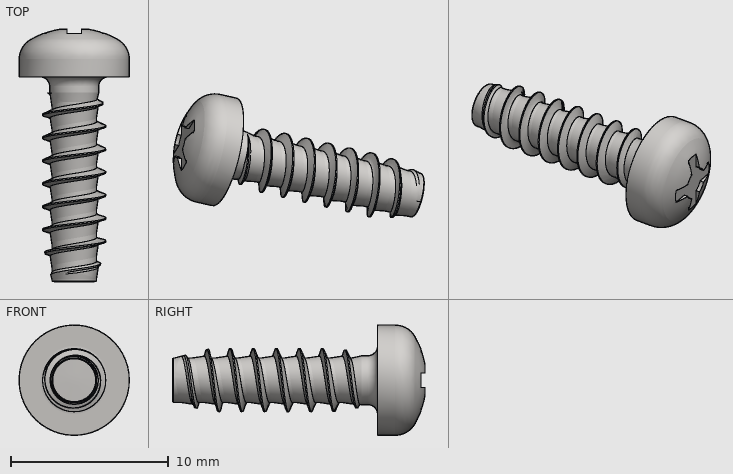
import cadquery as cq
import math


head_radius = 3.5
head_height = 3.03
rim_height = 1.12
rim_edge_radius = 0.05
shoulder_radius = 1.45
dome_radius = 5.5

recess_depth = 0.26
wing_width = 0.9

shank_length = 13.0
neck_radius = 1.56
neck_fillet = 0.6
neck_length = 1.0
core_radius = 1.42
core_start = 1.6
tip_chamfer = 0.06
tip_point_height = 0.03

pitch = 1.457
crest_radius = 2.0
crest_half_width = 0.04
front_foot_radius = 1.53
front_foot_offset = 0.2
relief_end_offset = 1.05
rear_foot_offset = 0.3
sunk_radius = 1.4
buried_radius = 1.2

crest_y_at_turn_zero = -2.03
thread_start_turn = -1.0
full_height_start_turn = 0.25
full_height_end_turn = 6.0
thread_end_turn = 7.4
start_crest_radius = 1.6
end_crest_radius = 1.43
points_per_turn = 20

tip_cone_length = 3.0
tip_cone_slope = 0.26


def revolve_about_y(profile):
    return profile.close().revolve(360, (0, 0, 0), (0, 1, 0))


def make_head():
    shoulder_x = head_radius - shoulder_radius
    centre_distance = dome_radius - shoulder_radius
    tangent_angle = math.asin(shoulder_x / centre_distance)
    dome_centre_y = rim_height - centre_distance * math.cos(tangent_angle)
    apex_y = dome_centre_y + dome_radius

    def dome_point(angle):
        return dome_radius * math.sin(angle), dome_centre_y + dome_radius * math.cos(angle)

    shoulder_angle = tangent_angle + (math.pi / 2 - tangent_angle) / 2
    shoulder_mid = (
        shoulder_x + shoulder_radius * math.sin(shoulder_angle),
        rim_height + shoulder_radius * math.cos(shoulder_angle),
    )
    head = revolve_about_y(
        cq.Workplane("XY")
        .lineTo(head_radius, 0)
        .lineTo(head_radius, rim_height)
        .threePointArc(shoulder_mid, dome_point(tangent_angle))
        .threePointArc(dome_point(tangent_angle / 2), (0, apex_y))
    )
    head = head.faces("<Y").edges().fillet(rim_edge_radius)

    opening_radius = math.sqrt(dome_radius**2 - (head_height - dome_centre_y) ** 2)
    return head.cut(make_recess(opening_radius, apex_y))


def make_recess(opening_radius, apex_y):
    floor_y = head_height - recess_depth
    height = apex_y - floor_y
    floor = cq.Workplane("XZ", origin=(0, floor_y, 0))
    wing_span = 2 * head_radius
    recess = floor.circle(opening_radius).extrude(-height)
    recess = recess.union(floor.rect(wing_span, wing_width).extrude(-height))
    return recess.union(floor.rect(wing_width, wing_span).extrude(-height))


def make_shank():
    fillet_offset = neck_fillet * (1 - math.sqrt(0.5))
    tip_shoulder_y = tip_point_height - shank_length
    return revolve_about_y(
        cq.Workplane("XY")
        .moveTo(0, rim_height)
        .lineTo(neck_radius + neck_fillet, rim_height)
        .lineTo(neck_radius + neck_fillet, 0)
        .threePointArc((neck_radius + fillet_offset, -fillet_offset), (neck_radius, -neck_fillet))
        .lineTo(neck_radius, -neck_length)
        .lineTo(core_radius, -core_start)
        .lineTo(core_radius, tip_shoulder_y + tip_chamfer)
        .lineTo(core_radius - tip_chamfer, tip_shoulder_y)
        .lineTo(0, -shank_length)
    )


def crest_radius_at(turn):
    if turn < full_height_start_turn:
        progress = (turn - thread_start_turn) / (full_height_start_turn - thread_start_turn)
        return start_crest_radius + progress * (crest_radius - start_crest_radius)
    if turn > full_height_end_turn:
        progress = (turn - full_height_end_turn) / (thread_end_turn - full_height_end_turn)
        return crest_radius + progress * (end_crest_radius - crest_radius)
    return crest_radius


def thread_section(turn):
    """Corners of the thread as (radius, offset from the crest towards the tip)."""
    crest = crest_radius_at(turn)
    front_foot = min(front_foot_radius, crest)
    return [
        (buried_radius, -rear_foot_offset),
        (sunk_radius, -rear_foot_offset),
        (crest, -crest_half_width),
        (crest, crest_half_width),
        (front_foot, front_foot_offset),
        (sunk_radius, relief_end_offset),
        (buried_radius, relief_end_offset),
    ]


def thread_point(turn, corner):
    radius, offset = thread_section(turn)[corner]
    angle = 2 * math.pi * turn
    y = crest_y_at_turn_zero - pitch * turn - offset
    return cq.Vector(-radius * math.sin(angle), y, radius * math.cos(angle))


def make_thread():
    turn_count = thread_end_turn - thread_start_turn
    step_count = round(turn_count * points_per_turn)
    turns = [thread_start_turn + turn_count * i / step_count for i in range(step_count + 1)]
    corners = range(len(thread_section(0)))
    helices = [cq.Edge.makeSpline([thread_point(turn, corner) for turn in turns]) for corner in corners]

    faces = [cq.Face.makeRuledSurface(helices[corner - 1], helices[corner]) for corner in corners]
    for turn in (thread_start_turn, thread_end_turn):
        outline = cq.Wire.makePolygon([thread_point(turn, corner) for corner in corners], close=True)
        faces.append(cq.Face.makeFromWires(outline))
    ridge = cq.Solid.makeSolid(cq.Shell.makeShell(faces))
    return cq.Workplane(obj=ridge).intersect(make_thread_envelope())


def make_thread_envelope():
    """Space from the end of the neck to the tip chamfer, narrowing towards the tip."""
    cone_end_y = tip_point_height + tip_chamfer - shank_length
    wide_radius = sunk_radius + tip_cone_length * tip_cone_slope
    return revolve_about_y(
        cq.Workplane("XY")
        .moveTo(0, -neck_length)
        .lineTo(wide_radius, -neck_length)
        .lineTo(wide_radius, cone_end_y + tip_cone_length)
        .lineTo(sunk_radius, cone_end_y)
        .lineTo(0, cone_end_y)
    )


result = make_head().union(make_shank()).union(make_thread())